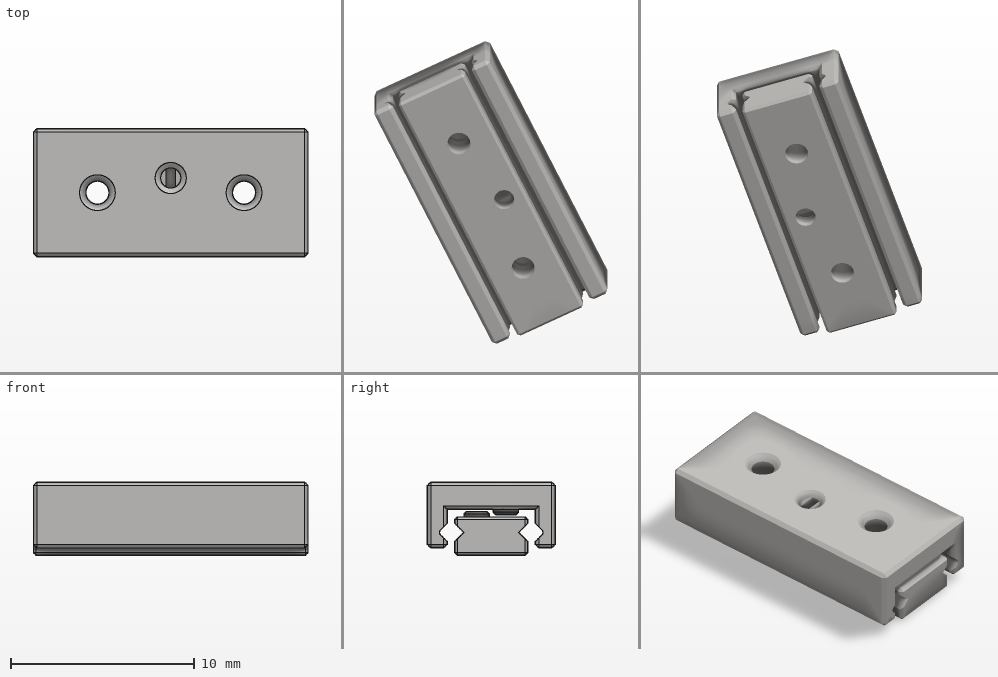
import cadquery as cq

length = 15.0
groove_z = 1.25
groove_depth = 0.5
mount_hole_dia = 1.25
mount_hole_x = 4.0

carriage_width = 7.0
carriage_bottom = 0.4
carriage_top = 4.0
carriage_height = carriage_top - carriage_bottom
carriage_chamfer = 0.2
channel_width = 4.8
channel_roof = 2.5
carriage_groove_radius = 0.2
mount_sink_depth = 0.35
screw_sink_depth = 0.3

rail_width = 4.0
rail_height = 2.1
rail_chamfer = 0.15

pin_head_dia = 1.4
pin_head_height = 0.3
pin_head_chamfer = 0.15
pin_shank_dia = 1.1
pin_shank_length = carriage_top - screw_sink_depth - channel_roof
pin_offset_y = 0.8
slot_width = 0.5
slot_depth = 0.6


def v_groove(side, opening_y, direction):
    """90 degree V prism along X; direction is +1 where it deepens away from the centre plane."""
    outline = [
        (side * opening_y, groove_z - groove_depth),
        (side * (opening_y + direction * groove_depth), groove_z),
        (side * opening_y, groove_z + groove_depth),
    ]
    return cq.Workplane("YZ").polyline(outline).close().extrude(length / 2, both=True)


def carriage_groove(side):
    """V groove with a rounded root in the inner wall of one carriage leg."""
    wall_y = channel_width / 2
    root_y = side * (wall_y + groove_depth)
    root = cq.selectors.NearestToPointSelector((0, root_y, groove_z))
    return v_groove(side, wall_y, 1).edges(root).fillet(carriage_groove_radius)


def countersink(x, y, hole_dia, depth):
    """45 degree cone that opens at the carriage top."""
    cone = cq.Solid.makeCone(
        hole_dia / 2,
        hole_dia / 2 + depth,
        depth,
        pnt=cq.Vector(x, y, carriage_top - depth),
    )
    return cq.Workplane(cone)


def mount_holes():
    """Pair of vertical through holes, tall enough for either body."""
    return (
        cq.Workplane("XY")
        .pushPoints([(-mount_hole_x, 0), (mount_hole_x, 0)])
        .circle(mount_hole_dia / 2)
        .extrude(carriage_top)
    )


def pin_bore(y):
    """Vertical through bore for a pin shank, tall enough for either body."""
    return cq.Workplane("XY").center(0, y).circle(pin_shank_dia / 2).extrude(carriage_top)


def stop_pin(y, seat_z, shank_direction):
    """Pin whose head rests on a face at seat_z; shank_direction is +1 up or -1 down."""
    head = cq.Workplane("XY").circle(pin_head_dia / 2).extrude(-pin_head_height)
    head = head.faces("<Z").chamfer(pin_head_chamfer)
    shank = cq.Workplane("XY").circle(pin_shank_dia / 2).extrude(pin_shank_length)
    slot = cq.Workplane("XY", origin=(0, 0, pin_shank_length - slot_depth))
    slot = slot.rect(slot_width, pin_shank_dia).extrude(slot_depth)
    pin = head.union(shank).cut(slot)
    if shank_direction < 0:
        pin = pin.rotate((0, 0, 0), (1, 0, 0), 180)
    return pin.translate((0, y, seat_z))


def make_carriage():
    body = cq.Workplane("XY", origin=(0, 0, carriage_bottom))
    body = body.box(length, carriage_width, carriage_height, centered=(True, True, False))
    channel = cq.Workplane("XY", origin=(0, 0, carriage_bottom))
    channel = channel.box(
        length, channel_width, channel_roof - carriage_bottom, centered=(True, True, False)
    )
    body = body.cut(channel)

    wall_y = channel_width / 2
    margin = 0.01
    roof_corners = cq.selectors.BoxSelector(
        (-margin, -wall_y - margin, channel_roof - margin),
        (margin, wall_y + margin, channel_roof + margin),
    )
    outer_edges = cq.selectors.SubtractSelector(
        cq.selectors.StringSyntaxSelector("|X or |Y or |Z"), roof_corners
    )
    body = body.edges(outer_edges).chamfer(carriage_chamfer)

    for side in (-1, 1):
        body = body.cut(carriage_groove(side))

    body = body.cut(mount_holes())
    for x in (-mount_hole_x, mount_hole_x):
        body = body.cut(countersink(x, 0, mount_hole_dia, mount_sink_depth))

    body = body.cut(countersink(0, pin_offset_y, pin_shank_dia, screw_sink_depth))
    return body.cut(pin_bore(pin_offset_y))


def make_rail():
    body = cq.Workplane("XY").box(length, rail_width, rail_height, centered=(True, True, False))
    body = body.edges().chamfer(rail_chamfer)
    for side in (-1, 1):
        body = body.cut(v_groove(side, rail_width / 2, -1))
    body = body.cut(mount_holes())
    return body.cut(pin_bore(-pin_offset_y))


carriage = make_carriage()
rail = make_rail()

stop_pins = []
for y, seat_z, shank_direction in (
    (pin_offset_y, channel_roof, 1),
    (-pin_offset_y, rail_height, -1),
):
    stop_pins.append(stop_pin(y, seat_z, shank_direction).val())

result = cq.Compound.makeCompound([carriage.val(), rail.val(), *stop_pins])